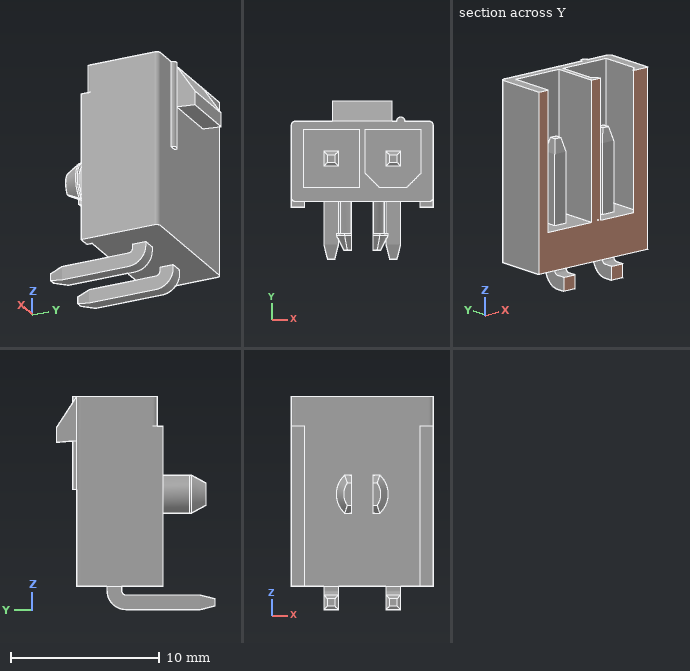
import cadquery as cq


BODY_WIDTH = 9.6
BODY_DEPTH = 5.44
BODY_HEIGHT = 12.83
CORNER_RADIUS = 0.3

RIB_WIDTH = 0.9
RIB_HEIGHT = 0.39
RIB_TOP_GAP = 2.02
RIB_ROOT = CORNER_RADIUS

PITCH = 4.2
CAVITY_OUTER_X = 3.98
CAVITY_INNER_X = 0.18
CAVITY_DEPTH_Y = 3.91
CAVITY_BACK_WALL = 0.585
CAVITY_DEPTH_Z = 10.0
CAVITY_CHAMFER = 0.985

LATCH_WIDTH = 4.02
LATCH_REACH = 1.37
LATCH_RAMP_DROP = 2.1
LATCH_LIP_DROP = 3.12
LATCH_ROOT_DROP = 3.01
KEY_RADIUS = 0.28
KEY_X = 2.6
KEY_LENGTH = 6.31

PIN_SIZE = 1.0
PIN_TIP_SIZE = 0.5
PIN_TAPER = 1.0
PIN_Y = BODY_DEPTH - 2.54
PIN_TOP_GAP = 4.0
PIN_INNER_RADIUS = 0.3
PIN_OUTER_RADIUS = PIN_INNER_RADIUS + PIN_SIZE
PIN_LEG_Z = -1.09
PIN_END_Y = -3.9

PEG_Z = 6.22
PEG_SHAFT_RADIUS = 1.5
PEG_HEAD_RADIUS = 1.75
PEG_TIP_RADIUS = 1.25
PEG_HEAD_START = 2.17
PEG_CONE_START = 2.3
PEG_LENGTH = 3.3
PEG_HALF_HEIGHT = 1.29
PEG_TIP_HALF_HEIGHT = 0.75
PEG_SLOT = 1.45

OVERLAP = 0.5


def box_between(x0, x1, y0, y1, z0, z1):
    """Box given by its limits along each axis."""
    return cq.Workplane("XY").box(x1 - x0, y1 - y0, z1 - z0, centered=False).translate((x0, y0, z0))


def make_housing():
    housing = box_between(-BODY_WIDTH / 2, BODY_WIDTH / 2, 0, BODY_DEPTH, 0, BODY_HEIGHT)
    housing = housing.edges("|Z").fillet(CORNER_RADIUS)
    rib_top = BODY_HEIGHT - RIB_TOP_GAP
    for side in (-1, 1):
        edge_x = side * BODY_WIDTH / 2
        inner_x = edge_x - side * RIB_WIDTH
        x0, x1 = sorted((edge_x, inner_x))
        housing = housing.union(box_between(x0, x1, -RIB_HEIGHT, RIB_ROOT, 0, rib_top))
    return housing


def make_cavities():
    y1 = BODY_DEPTH - CAVITY_BACK_WALL
    y0 = y1 - CAVITY_DEPTH_Y
    z0 = BODY_HEIGHT - CAVITY_DEPTH_Z
    square = box_between(-CAVITY_OUTER_X, -CAVITY_INNER_X, y0, y1, z0, BODY_HEIGHT)
    keyed = box_between(CAVITY_INNER_X, CAVITY_OUTER_X, y0, y1, z0, BODY_HEIGHT)
    keyed = keyed.faces("<Y").edges("|Z").chamfer(CAVITY_CHAMFER)
    return square.union(keyed)


def make_latch():
    profile = [
        (BODY_DEPTH - OVERLAP, BODY_HEIGHT),
        (BODY_DEPTH, BODY_HEIGHT),
        (BODY_DEPTH + LATCH_REACH, BODY_HEIGHT - LATCH_RAMP_DROP),
        (BODY_DEPTH + LATCH_REACH, BODY_HEIGHT - LATCH_LIP_DROP),
        (BODY_DEPTH, BODY_HEIGHT - LATCH_ROOT_DROP),
        (BODY_DEPTH - OVERLAP, BODY_HEIGHT - LATCH_ROOT_DROP),
    ]
    return cq.Workplane("YZ").polyline(profile).close().extrude(LATCH_WIDTH / 2, both=True)


def make_key():
    base_z = BODY_HEIGHT - KEY_LENGTH
    return cq.Workplane("XY", origin=(KEY_X, BODY_DEPTH, base_z)).circle(KEY_RADIUS).extrude(KEY_LENGTH)


def make_pin_tip(plane):
    """Square taper growing out of the given plane."""
    base = cq.Workplane(plane).rect(PIN_SIZE, PIN_SIZE)
    end = base.workplane(offset=PIN_TAPER).rect(PIN_TIP_SIZE, PIN_TIP_SIZE)
    return end.loft(ruled=True)


def make_pin(x):
    half = PIN_SIZE / 2
    shank_top = BODY_HEIGHT - PIN_TOP_GAP - PIN_TAPER
    leg_end = PIN_END_Y + PIN_TAPER
    upright = box_between(x - half, x + half, PIN_Y - half, PIN_Y + half, PIN_LEG_Z - half, shank_top)
    leg = box_between(x - half, x + half, leg_end, PIN_Y + half, PIN_LEG_Z - half, PIN_LEG_Z + half)
    pin = upright.union(leg)
    outer_bend = cq.selectors.NearestToPointSelector((x, PIN_Y + half, PIN_LEG_Z - half))
    inner_bend = cq.selectors.NearestToPointSelector((x, PIN_Y - half, PIN_LEG_Z + half))
    pin = pin.edges(outer_bend).fillet(PIN_OUTER_RADIUS)
    pin = pin.edges(inner_bend).fillet(PIN_INNER_RADIUS)
    pin = pin.union(make_pin_tip(cq.Plane((x, PIN_Y, shank_top), (1, 0, 0), (0, 0, 1))))
    return pin.union(make_pin_tip(cq.Plane((x, leg_end, PIN_LEG_Z), (1, 0, 0), (0, -1, 0))))


def make_peg():
    radii = [
        (0, OVERLAP),
        (PEG_SHAFT_RADIUS, OVERLAP),
        (PEG_SHAFT_RADIUS, -PEG_HEAD_START),
        (PEG_HEAD_RADIUS, -PEG_HEAD_START),
        (PEG_HEAD_RADIUS, -PEG_CONE_START),
        (PEG_TIP_RADIUS, -PEG_LENGTH),
        (0, -PEG_LENGTH),
    ]
    turned = cq.Workplane("XY").polyline(radii).close().revolve(360, (0, 0, 0), (0, 1, 0))
    flats = [
        (OVERLAP, -PEG_HALF_HEIGHT),
        (OVERLAP, PEG_HALF_HEIGHT),
        (-PEG_CONE_START, PEG_HALF_HEIGHT),
        (-PEG_LENGTH, PEG_TIP_HALF_HEIGHT),
        (-PEG_LENGTH, -PEG_TIP_HALF_HEIGHT),
        (-PEG_CONE_START, -PEG_HALF_HEIGHT),
    ]
    envelope = cq.Workplane("YZ").polyline(flats).close().extrude(PEG_HEAD_RADIUS, both=True)
    half_slot = PEG_SLOT / 2
    slot = box_between(-half_slot, half_slot, -PEG_LENGTH, OVERLAP, -PEG_HEAD_RADIUS, PEG_HEAD_RADIUS)
    return turned.intersect(envelope).cut(slot).translate((0, 0, PEG_Z))


result = make_housing().union(make_latch()).union(make_key()).union(make_peg())
result = result.cut(make_cavities())
for pin_x in (-PITCH / 2, PITCH / 2):
    result = result.union(make_pin(pin_x))